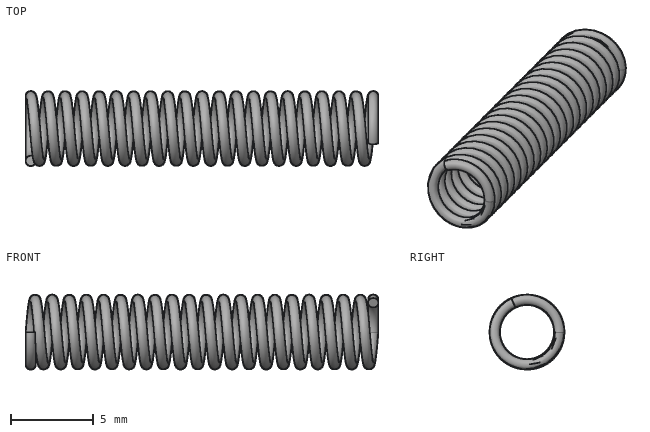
import cadquery as cq

outer_diameter = 4.57
overall_length = 21.45
wire_diameter = 0.635
active_turns = 20
start_coil_angle = 180.0
finish_coil_angle = 115.0

wire_radius = wire_diameter / 2
coil_radius = outer_diameter / 2 - wire_radius
coil_length = overall_length - wire_diameter
pitch = coil_length / active_turns
start_x = wire_radius
finish_x = start_x + coil_length


def wire_section(x):
    """Round wire section at the +Y side of the coil, lying in the XY plane."""
    return cq.Workplane("XY").center(x, coil_radius).circle(wire_radius)


def flat_coil(x, angle):
    """Part-turn of wire in a plane of constant X; a positive angle turns from +Y towards +Z."""
    turn_direction = 1 if angle > 0 else -1
    axis_end = (turn_direction, -coil_radius)
    return wire_section(x).revolve(abs(angle), (0, -coil_radius), axis_end)


def helical_coil():
    """Active coils, starting and finishing at the +Y side."""
    helix_plane = cq.Plane(origin=(start_x, 0, 0), xDir=(0, 1, 0), normal=(1, 0, 0))
    helix = cq.Wire.makeHelix(pitch, coil_length, coil_radius).moved(helix_plane.location)
    return wire_section(start_x).sweep(cq.Workplane(helix), isFrenet=True)


start_coil = flat_coil(start_x, -start_coil_angle)
finish_coil = flat_coil(finish_x, finish_coil_angle)
result = helical_coil().union(start_coil).union(finish_coil)